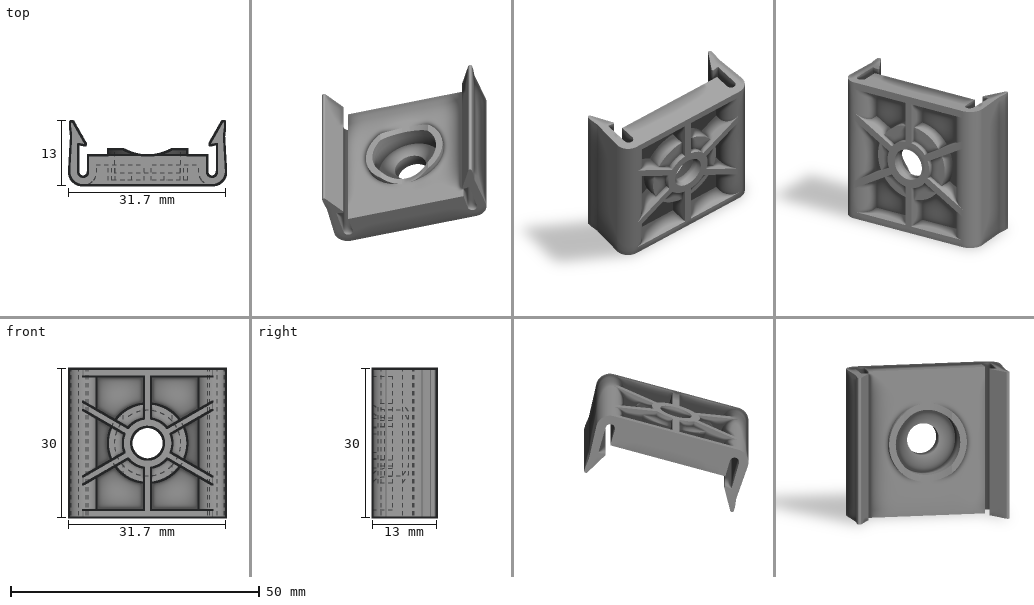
import cadquery as cq
import math

WIDTH = 31.67
HEIGHT = 30.0
DEPTH = 13.0
CORNER_R = 2.8
BLOCK_TOP = 6.08

SLOT_INNER = 12.05
SLOT_OUTER = 13.95
SLOT_BOTTOM = 1.77
BARB_TIP_X = 12.45
BARB_LOW_Y = 8.0
BARB_EDGE = 0.38
BARB_CORNER_R = 0.2
BARB_ROOT_Y = 8.3
ARM_NECK_X = 15.42
ARM_NECK_Y = 9.98
ARM_END_X = 15.65
ARM_END_Y = 11.72
NOSE_R = 0.38

PLATE = 1.52
RIB = 1.43
RIB_ANGLE = 30.0
FLOOR_Y = 4.1
HUB_R = 5.0
HOLE_R = 3.25

PAD_R = 8.0
PAD_TOP = 7.3
PAD_BOTTOM = 1.1
SADDLE_R = 10.25
SADDLE_LOW_Y = 6.05
BORE_R = 6.65
BORE_FLOOR_Y = 2.47

SLOT_R = (SLOT_OUTER - SLOT_INNER) / 2
SLOT_X = (SLOT_OUTER + SLOT_INNER) / 2
SLOT_CENTER_Y = SLOT_BOTTOM + SLOT_R
CORNER_X = WIDTH / 2 - CORNER_R
DIAGONAL = math.sqrt(0.5)


def extrude_z(outline, height):
    """Extrude an XY outline symmetrically about Z = 0."""
    return outline.extrude(height / 2, both=True)


def cylinder_y(radius, start, end):
    """Cylinder along Y from start to end."""
    return cq.Workplane("XZ", origin=(0, start, 0)).circle(radius).extrude(start - end)


def half_body():
    """The +X half: solid block, slot and barbed arm in one outline."""
    nose_x = ARM_END_X - NOSE_R
    nose_y = DEPTH - NOSE_R
    run = nose_x - BARB_TIP_X
    rise = nose_y - BARB_LOW_Y - BARB_EDGE
    slope = math.atan2(rise, run) + math.asin(NOSE_R / math.hypot(rise, run))
    tangent_x = nose_x - NOSE_R * math.sin(slope)
    tangent_y = nose_y + NOSE_R * math.cos(slope)
    outline = (
        cq.Workplane("XY")
        .moveTo(0, 0)
        .lineTo(CORNER_X, 0)
        .threePointArc(
            (CORNER_X + CORNER_R * DIAGONAL, CORNER_R * (1 - DIAGONAL)),
            (WIDTH / 2, CORNER_R),
        )
        .lineTo(ARM_NECK_X, ARM_NECK_Y)
        .lineTo(ARM_END_X, ARM_END_Y)
        .lineTo(ARM_END_X, nose_y)
        .threePointArc((nose_x, DEPTH), (tangent_x, tangent_y))
        .lineTo(BARB_TIP_X, BARB_LOW_Y + BARB_EDGE)
        .lineTo(BARB_TIP_X, BARB_LOW_Y)
        .lineTo(SLOT_OUTER, BARB_ROOT_Y)
        .lineTo(SLOT_OUTER, SLOT_CENTER_Y)
        .threePointArc((SLOT_X, SLOT_BOTTOM), (SLOT_INNER, SLOT_CENTER_Y))
        .lineTo(SLOT_INNER, BLOCK_TOP)
        .lineTo(0, BLOCK_TOP)
        .close()
    )
    barb_corner = cq.selectors.NearestToPointSelector((BARB_TIP_X, BARB_LOW_Y, 0))
    return extrude_z(outline, HEIGHT).edges("|Z").edges(barb_corner).fillet(BARB_CORNER_R)


def hollow():
    """Underside hollow whose sides curve around the slot bottoms."""
    inner = CORNER_X - CORNER_R
    arc_x = CORNER_X - CORNER_R * DIAGONAL
    arc_y = CORNER_R * (1 - DIAGONAL)
    outline = (
        cq.Workplane("XY")
        .moveTo(-CORNER_X, 0)
        .threePointArc((-arc_x, arc_y), (-inner, CORNER_R))
        .lineTo(-inner, FLOOR_Y)
        .lineTo(inner, FLOOR_Y)
        .lineTo(inner, CORNER_R)
        .threePointArc((arc_x, arc_y), (CORNER_X, 0))
        .close()
    )
    return extrude_z(outline, HEIGHT - 2 * PLATE)


def ribs():
    """Three ribs crossing at the hub, from the underside to the floor."""
    envelope = cq.Workplane("XY").box(2 * CORNER_X, FLOOR_Y, HEIGHT, centered=(True, False, True))
    bars = cq.Workplane("XY")
    for angle in (RIB_ANGLE, 90, -RIB_ANGLE):
        bar = cq.Workplane("XY").box(2 * WIDTH, FLOOR_Y, RIB, centered=(True, False, True))
        bars = bars.union(bar.rotate((0, 0, 0), (0, 1, 0), angle))
    return bars.intersect(envelope)


def saddle_pad():
    """Round pad through the floor with a concave seat running along Z."""
    seat = extrude_z(
        cq.Workplane("XY").center(0, SADDLE_LOW_Y + SADDLE_R).circle(SADDLE_R),
        HEIGHT,
    )
    return cylinder_y(PAD_R, PAD_BOTTOM, PAD_TOP).cut(seat)


half = half_body()
body = half.union(half.mirror("YZ"))
cavity = hollow()
body = body.cut(cavity).union(ribs().intersect(cavity))
body = body.union(cylinder_y(HUB_R, 0, FLOOR_Y)).union(saddle_pad())
body = body.cut(cylinder_y(BORE_R, BORE_FLOOR_Y, PAD_TOP))
result = body.cut(cylinder_y(HOLE_R, 0, PAD_TOP))